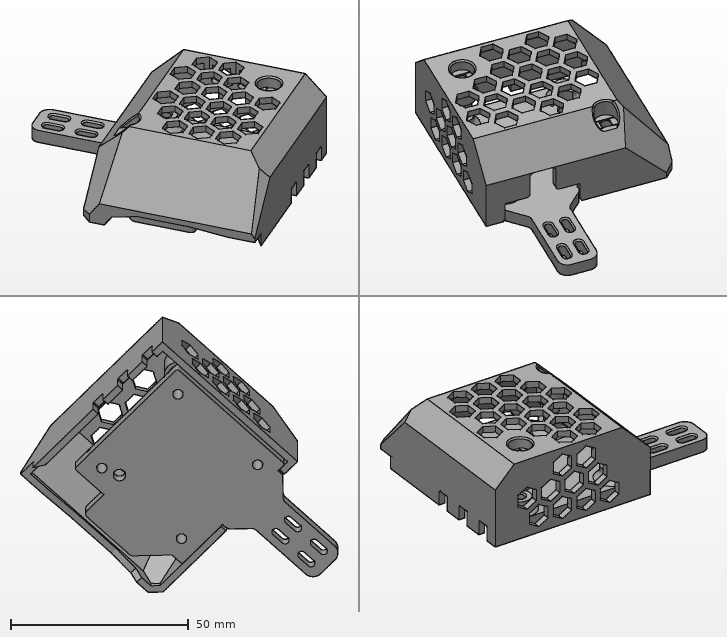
import cadquery as cq
import math

COVER_LENGTH = 52.6
COVER_WIDTH = 57.79
COVER_HEIGHT = 25.0
WALL = 2.0
FAR = 200.0

LEFT_BEVEL = 9.65
RIGHT_BEVEL = 6.4
CORNER_BEVEL = 2.95
FRONT_LIP_HEIGHT = 6.75
FRONT_RUN = 14.0
FACET_RISE_X = 1.36
FACET_RISE_Y = 1.08
LEFT_FACET_Z = -1.3
RIGHT_FACET_Z = 5.4

SCREW_PITCH = 31.0
SCREW_LEFT = 7.45
SCREW_FRONT = 18.3
SCREW_RIGHT = SCREW_LEFT + SCREW_PITCH
SCREW_BACK = SCREW_FRONT + SCREW_PITCH
SCREW_POINTS = [(x, y) for x in (SCREW_LEFT, SCREW_RIGHT) for y in (SCREW_FRONT, SCREW_BACK)]
COVER_SCREWS = [(SCREW_LEFT, SCREW_FRONT, 19.6), (SCREW_RIGHT, SCREW_BACK, 21.6)]

POST_RADIUS = 2.7
POST_BOTTOM = 11.0
HEAD_BOSS_RADIUS = 3.85
HEAD_BOSS_BOTTOM = 14.5
HEAD_RADIUS = 3.45
HEAD_CHAMFER = 0.45
SCREW_CLEARANCE = 3.1
BRIDGE_LAYER = 0.25

HEX_FLATS = 6.25
HEX_PITCH = 8.0
HEX_ROW_PITCH = HEX_PITCH * math.sin(math.radians(60))
HEX_FIRST_X = 13.8
TOP_HEX_FRONT_Y = 18.3
TOP_HEX_DEPTH = 5.0
TOP_HEX_ROWS = [(2, 3), (1, 4), (0, 4), (1, 4), (0, 3), (1, 2)]
BACK_HEX_LOW_Z = 5.5
BACK_HEX_ROWS = [(0, 4), (1, 4), (2, 2)]

ARM_OPENING_FRONT = 29.2
ARM_OPENING_BACK = 52.05
ARM_OPENING_HEIGHT = 6.65
ARM_OPENING_RADIUS = 0.6
ARM_OPENING_LEAD_IN = 0.5
ARM_OPENING_LEAD_IN_HEIGHT = 1.0
CABLE_SLOT_FRONT = 36.6
CABLE_SLOT_BACK = 44.4
CABLE_SLOT_TOP = COVER_HEIGHT - LEFT_BEVEL
CABLE_SLOT_RADIUS = 1.2
SIDE_NOTCH_WIDTH = 4.0
SIDE_NOTCH_HEIGHT = 4.75
SIDE_NOTCH_CHAMFER = 0.3
SIDE_NOTCH_CENTRES = (31.5, 41.5, 51.5)
RIGHT_CORNER_CLEARANCE = 4.05
RIGHT_CORNER_DEPTH = 5.0
RIGHT_CORNER_WALL = 2.4
RIGHT_JAMB_ANGLE = 33.0
FRONT_ARCH = [(7.4, 0), (9.7, 3.15), (13.0, 3.85), (17.0, 5.0), (33.0, 5.0), (44.4, RIGHT_CORNER_CLEARANCE)]

PLATE_THICKNESS = 4.0
PLATE_MARGIN = 5.45
PLATE_CORNER_RADIUS = 0.7
ARM_LEFT = 28.24
ARM_FRONT = 34.65
ARM_BACK = 46.45
ARM_CORNER_RADIUS = 3.0
ARM_FLARE_START = -5.25
ARM_FLARE_RADIUS = 2.0
ARM_SHOULDER_RADIUS = 2.5
ARM_CLEARANCE = 0.1
TAB_LEFT = 14.1
TAB_RIGHT = 32.5
TAB_FRONT = 4.7
TAB_FLANK_RADIUS = 1.6
TAB_END_RADIUS = 1.3
TAB_REACH = 12.0
STRAP_SLOT_LENGTH = 5.8
STRAP_SLOT_WIDTH = 2.2
STRAP_SLOT_CHAMFER = 0.45
STRAP_SLOT_PITCH_X = 10.05
STRAP_SLOT_PITCH_Y = 5.1
STRAP_SLOT_LEFT = -22.25
STRAP_SLOT_FRONT = 38.05
STANDOFF_TOP = 8.0
STANDOFF_RADIUS = 3.35
STANDOFF_FOOT_RADIUS = 5.2
STANDOFF_FOOT_HEIGHT = 1.3
STANDOFF_HOLE = 2.9
STANDOFF_HOLE_CHAMFER = 0.4
MOUNT_HOLE_POINT = (33.4, 20.2)
MOUNT_HOLE = 3.5
MOUNT_HOLE_CHAMFER = 0.35
MOUNT_HEAD_RADIUS = 3.7


def unit(x, y, z):
    """Unit vector along (x, y, z)."""
    return cq.Vector(x, y, z).normalized()


FRONT_RISE = COVER_HEIGHT - FRONT_LIP_HEIGHT
COVER_FACES = [
    ((0, 0, 0), unit(-1, 0, 0)),
    ((0, 0, 0), unit(0, -1, 0)),
    ((COVER_LENGTH, 0, 0), unit(1, 0, 0)),
    ((0, COVER_WIDTH, 0), unit(0, 1, 0)),
    ((0, 0, COVER_HEIGHT), unit(0, 0, 1)),
    ((LEFT_BEVEL, 0, COVER_HEIGHT), unit(-1, 0, 1)),
    ((COVER_LENGTH - RIGHT_BEVEL, 0, COVER_HEIGHT), unit(1, 0, 1)),
    ((0, FRONT_RUN, COVER_HEIGHT), unit(0, -FRONT_RISE, FRONT_RUN)),
    ((CORNER_BEVEL, 0, 0), unit(-1, -1, 0)),
    ((0, 0, LEFT_FACET_Z), unit(-FACET_RISE_X, -FACET_RISE_Y, 1)),
    ((COVER_LENGTH, 0, RIGHT_FACET_Z), unit(FACET_RISE_X, -FACET_RISE_Y, 1)),
]


def cover_block(inset):
    """Solid bounded by the cover faces, each moved inward by `inset`."""
    block = cq.Workplane("XY").box(FAR, FAR, FAR, centered=(True, True, False))
    for point, normal in COVER_FACES:
        origin = cq.Vector(*point) - normal * inset
        outside = cq.Workplane(cq.Plane(origin, normal=normal)).rect(2 * FAR, 2 * FAR).extrude(2 * FAR)
        block = block.cut(outside)
    return block


def hex_points(rows, first_row):
    """Cell centres of a honeycomb, row by row."""
    points = []
    for row, (half_steps, count) in enumerate(rows):
        first = HEX_FIRST_X + half_steps * HEX_PITCH / 2
        height = first_row + row * HEX_ROW_PITCH
        points += [(first + cell * HEX_PITCH, height) for cell in range(count)]
    return points


def hex_cells(plane, points, depth):
    """Hexagonal prisms with their corners pointing up and down."""
    radius = HEX_FLATS / math.sqrt(3)
    corners = [
        (radius * math.sin(math.radians(60 * k)), radius * math.cos(math.radians(60 * k)))
        for k in range(6)
    ]
    cells = plane
    for u, v in points:
        cells = cells.moveTo(u + corners[0][0], v + corners[0][1])
        for du, dv in corners[1:]:
            cells = cells.lineTo(u + du, v + dv)
        cells = cells.close()
    return cells.extrude(depth)


def cylinder(x, y, radius, bottom, top):
    """Upright cylinder."""
    return cq.Workplane("XY", origin=(x, y, bottom)).circle(radius).extrude(top - bottom)


def screw_post(x, y):
    """Post that clamps on the screw, with a wider boss around the screw head."""
    boss = cylinder(x, y, HEAD_BOSS_RADIUS, HEAD_BOSS_BOTTOM, COVER_HEIGHT)
    return boss.union(cylinder(x, y, POST_RADIUS, POST_BOTTOM, COVER_HEIGHT))


def screw_passage(x, y, floor):
    """Cutter for the two bridging layers below the head recess and the screw hole."""
    strip = (
        cq.Workplane("XY", origin=(x, y, floor))
        .rect(SCREW_CLEARANCE, 2 * HEAD_RADIUS)
        .extrude(-BRIDGE_LAYER)
        .intersect(cylinder(x, y, HEAD_RADIUS, floor - BRIDGE_LAYER, floor))
    )
    square = (
        cq.Workplane("XY", origin=(x, y, floor))
        .rect(SCREW_CLEARANCE, SCREW_CLEARANCE)
        .extrude(-2 * BRIDGE_LAYER)
    )
    hole = cylinder(x, y, SCREW_CLEARANCE / 2, 0, floor)
    return strip.union(square).union(hole)


def arm_opening():
    """Opening of the left wall: a low gap for the arm and a tall cable slot above it."""
    depth = 4 * WALL
    side = cq.Workplane("YZ", origin=(-WALL, 0, 0))
    gap_width = ARM_OPENING_BACK - ARM_OPENING_FRONT
    gap_centre = (ARM_OPENING_BACK + ARM_OPENING_FRONT) / 2
    slot_width = CABLE_SLOT_BACK - CABLE_SLOT_FRONT
    slot_centre = (CABLE_SLOT_BACK + CABLE_SLOT_FRONT) / 2
    gap = (
        side.center(gap_centre, ARM_OPENING_HEIGHT / 2)
        .rect(gap_width, ARM_OPENING_HEIGHT)
        .extrude(depth)
        .edges("|X and >Z")
        .fillet(ARM_OPENING_RADIUS)
    )
    slot = (
        side.center(slot_centre, CABLE_SLOT_TOP / 2)
        .rect(slot_width, CABLE_SLOT_TOP)
        .extrude(depth)
    )
    opening = gap.union(slot)
    slot_corners = cq.selectors.BoxSelector(
        (-FAR, CABLE_SLOT_FRONT - CABLE_SLOT_RADIUS, ARM_OPENING_HEIGHT - CABLE_SLOT_RADIUS),
        (FAR, CABLE_SLOT_BACK + CABLE_SLOT_RADIUS, FAR),
    )
    opening = opening.edges("|X").edges(slot_corners).fillet(CABLE_SLOT_RADIUS)
    lead_in = (
        side.moveTo(ARM_OPENING_FRONT - ARM_OPENING_LEAD_IN, 0)
        .lineTo(ARM_OPENING_FRONT, ARM_OPENING_LEAD_IN_HEIGHT)
        .lineTo(ARM_OPENING_BACK, ARM_OPENING_LEAD_IN_HEIGHT)
        .lineTo(ARM_OPENING_BACK + ARM_OPENING_LEAD_IN, 0)
        .close()
        .extrude(depth)
    )
    return opening.union(lead_in)


def front_opening():
    """Low arched opening under the front lip, running out through the right wall."""
    outline = FRONT_ARCH + [(COVER_LENGTH, RIGHT_CORNER_CLEARANCE), (COVER_LENGTH, 0)]
    return cq.Workplane("XZ").polyline(outline).close().extrude(-RIGHT_CORNER_DEPTH)


def right_corner_opening():
    """Continues the front opening around the right corner, ending in a slanted jamb."""
    inner_x = COVER_LENGTH - RIGHT_CORNER_WALL
    jamb_run = RIGHT_CORNER_WALL / math.tan(math.radians(RIGHT_JAMB_ANGLE))
    return (
        cq.Workplane("XY")
        .moveTo(inner_x, 0)
        .lineTo(COVER_LENGTH, 0)
        .lineTo(COVER_LENGTH, RIGHT_CORNER_DEPTH)
        .lineTo(inner_x, RIGHT_CORNER_DEPTH + jamb_run)
        .close()
        .extrude(RIGHT_CORNER_CLEARANCE)
    )


def side_notch(y):
    """Cable notch at the bottom of the right wall."""
    return (
        cq.Workplane("XY", origin=(COVER_LENGTH, y, 0))
        .box(4 * WALL, SIDE_NOTCH_WIDTH, SIDE_NOTCH_HEIGHT, centered=(True, True, False))
        .edges("|X and >Z")
        .chamfer(SIDE_NOTCH_CHAMFER)
    )


def recessed_block():
    """Outer block with the screw head recesses, their upper rims chamfered."""
    block = cover_block(0)
    for x, y, floor in COVER_SCREWS:
        block = block.cut(cylinder(x, y, HEAD_RADIUS, floor, COVER_HEIGHT))
        above_floor = cq.selectors.BoxSelector(
            (x - 2 * HEAD_RADIUS, y - 2 * HEAD_RADIUS, floor + HEAD_CHAMFER),
            (x + 2 * HEAD_RADIUS, y + 2 * HEAD_RADIUS, FAR),
        )
        block = block.edges("%CIRCLE or %ELLIPSE").edges(above_floor).chamfer(HEAD_CHAMFER)
    return block


def make_cover():
    outer = recessed_block()
    cover = outer.cut(cover_block(WALL))
    for x, y, floor in COVER_SCREWS:
        cover = cover.union(screw_post(x, y).intersect(outer))
        cover = cover.cut(screw_passage(x, y, floor))
    top = cq.Workplane("XY", origin=(0, 0, COVER_HEIGHT))
    cover = cover.cut(hex_cells(top, hex_points(TOP_HEX_ROWS, TOP_HEX_FRONT_Y), -TOP_HEX_DEPTH))
    back = cq.Workplane("XZ", origin=(0, COVER_WIDTH, 0))
    cover = cover.cut(hex_cells(back, hex_points(BACK_HEX_ROWS, BACK_HEX_LOW_Z), WALL))
    cover = cover.cut(arm_opening()).cut(front_opening()).cut(right_corner_opening())
    for y in SIDE_NOTCH_CENTRES:
        cover = cover.cut(side_notch(y))
    return cover


def plate_body():
    """Square base under the screws."""
    size = SCREW_PITCH + 2 * PLATE_MARGIN
    return (
        cq.Workplane("XY", origin=(SCREW_LEFT - PLATE_MARGIN, SCREW_FRONT - PLATE_MARGIN, 0))
        .rect(size, size, centered=False)
        .extrude(PLATE_THICKNESS)
        .edges("|Z")
        .fillet(PLATE_CORNER_RADIUS)
    )


def upright_edge(x, y):
    """Selector of the upright plate edge at (x, y)."""
    return cq.selectors.NearestToPointSelector((x, y, PLATE_THICKNESS / 2))


def arm():
    """Arm that leaves the cover to the left, flaring out at 45 degrees to the opening."""
    front = ARM_OPENING_FRONT + ARM_CLEARANCE
    back = ARM_OPENING_BACK - ARM_CLEARANCE
    shoulder_x = ARM_FLARE_START + ARM_FRONT - front
    outline = (
        cq.Workplane("XY")
        .moveTo(-ARM_LEFT, ARM_FRONT)
        .lineTo(ARM_FLARE_START, ARM_FRONT)
        .lineTo(shoulder_x, front)
        .lineTo(SCREW_LEFT, front)
        .lineTo(SCREW_LEFT, back)
        .lineTo(ARM_FLARE_START + back - ARM_BACK, back)
        .lineTo(ARM_FLARE_START, ARM_BACK)
        .lineTo(-ARM_LEFT, ARM_BACK)
        .close()
        .extrude(PLATE_THICKNESS)
    )
    rounded = outline.edges("|Z and <X").fillet(ARM_CORNER_RADIUS)
    rounded = rounded.edges(upright_edge(shoulder_x, front)).fillet(ARM_SHOULDER_RADIUS)
    for y in (ARM_FRONT, ARM_BACK):
        rounded = rounded.edges(upright_edge(ARM_FLARE_START, y)).fillet(ARM_FLARE_RADIUS)
    return rounded


def front_tab():
    """Tab that reaches forward into the front opening, with a 45 degree left flank."""
    back = TAB_FRONT + TAB_REACH
    tab = (
        cq.Workplane("XY")
        .moveTo(TAB_LEFT, TAB_FRONT)
        .lineTo(TAB_RIGHT, TAB_FRONT)
        .lineTo(TAB_RIGHT, back)
        .lineTo(TAB_LEFT - TAB_REACH, back)
        .close()
        .extrude(PLATE_THICKNESS)
    )
    tab = tab.edges("|Z and >X and <Y").fillet(TAB_END_RADIUS)
    return tab.edges(upright_edge(TAB_LEFT, TAB_FRONT)).fillet(TAB_FLANK_RADIUS)


def standoff(x, y):
    """Round post on a 45 degree foot, blended into the post by a concave arc."""
    foot_top_radius = STANDOFF_FOOT_RADIUS - STANDOFF_FOOT_HEIGHT
    half_angle = math.radians(45)
    blend = (foot_top_radius - STANDOFF_RADIUS) / (1 - math.cos(half_angle))
    foot_top = PLATE_THICKNESS + STANDOFF_FOOT_HEIGHT
    blend_top = foot_top + blend * math.sin(half_angle)
    centre_radius = STANDOFF_RADIUS + blend
    middle = half_angle / 2
    return (
        cq.Workplane("XZ")
        .moveTo(0, PLATE_THICKNESS)
        .lineTo(STANDOFF_FOOT_RADIUS, PLATE_THICKNESS)
        .lineTo(foot_top_radius, foot_top)
        .threePointArc(
            (centre_radius - blend * math.cos(middle), blend_top - blend * math.sin(middle)),
            (STANDOFF_RADIUS, blend_top),
        )
        .lineTo(STANDOFF_RADIUS, STANDOFF_TOP)
        .lineTo(0, STANDOFF_TOP)
        .close()
        .revolve(360, (0, 0, 0), (0, 1, 0))
        .translate((x, y, 0))
    )


def chamfered_hole(x, y, diameter, chamfer, top):
    """Cutter for a through hole with a countersunk upper edge."""
    hole = cylinder(x, y, diameter / 2, 0, top)
    mouth = (
        cq.Workplane("XY", origin=(x, y, top))
        .circle(diameter / 2 + chamfer)
        .workplane(offset=-chamfer)
        .circle(diameter / 2)
        .loft(ruled=True)
    )
    return hole.union(mouth)


def strap_slot(x, y):
    """Cutter for one slot of the arm, widened at its upper edge."""
    top = cq.Workplane("XY", origin=(x, y, PLATE_THICKNESS))
    slot = top.slot2D(STRAP_SLOT_LENGTH, STRAP_SLOT_WIDTH).extrude(-PLATE_THICKNESS)
    grown = 2 * STRAP_SLOT_CHAMFER
    mouth = (
        top.slot2D(STRAP_SLOT_LENGTH + grown, STRAP_SLOT_WIDTH + grown)
        .extrude(-STRAP_SLOT_CHAMFER, taper=45)
    )
    return slot.union(mouth)


def make_plate():
    plate = plate_body().union(arm()).union(front_tab())
    for x, y in SCREW_POINTS:
        plate = plate.union(standoff(x, y))
    head_x, head_y = MOUNT_HOLE_POINT
    plate = plate.cut(cylinder(head_x, head_y, MOUNT_HEAD_RADIUS, PLATE_THICKNESS, STANDOFF_TOP))
    plate = plate.cut(chamfered_hole(head_x, head_y, MOUNT_HOLE, MOUNT_HOLE_CHAMFER, PLATE_THICKNESS))
    for x, y in SCREW_POINTS:
        plate = plate.cut(chamfered_hole(x, y, STANDOFF_HOLE, STANDOFF_HOLE_CHAMFER, STANDOFF_TOP))
    for column in (0, 1):
        for row in (0, 1):
            x = STRAP_SLOT_LEFT + column * STRAP_SLOT_PITCH_X
            y = STRAP_SLOT_FRONT + row * STRAP_SLOT_PITCH_Y
            plate = plate.cut(strap_slot(x, y))
    return plate


cover = make_cover()
plate = make_plate()
result = cq.Compound.makeCompound([cover.solids().val(), plate.solids().val()])